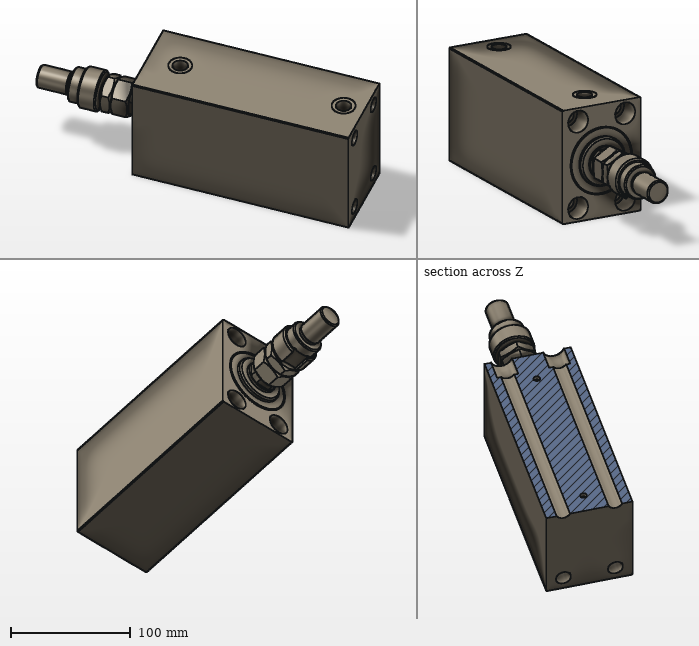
import cadquery as cq
import math

TOTAL_LENGTH = 289.0
BLOCK_FRONT = 96.2
BLOCK_WIDTH = 75.0
BLOCK_HEIGHT = 100.0
BLOCK_LENGTH = TOTAL_LENGTH - BLOCK_FRONT
BLOCK_CHAMFER = 1.0

MOUNT_SPACING_Y = 45.0
MOUNT_SPACING_Z = 76.0
MOUNT_DIAMETER = 13.0
MOUNT_COUNTERBORE_DIAMETER = 19.0
MOUNT_COUNTERBORE_DEPTH = 18.8

PORT_POSITIONS = (125.0, 270.8)
PORT_DIAMETER = 13.0
PORT_SPOT_DIAMETER = 20.0
SPOT_DEPTH = 0.3
PORT_DEPTH = 12.0
PASSAGE_DIAMETER = 5.2
PASSAGE_DEPTH = 18.8

GROOVE_OUTER_DIAMETER = 59.0
GROOVE_INNER_DIAMETER = 57.2
GROOVE_DEPTH = 1.0
BOSS_DIAMETER = 43.0
BOSS_LENGTH = 3.8
BOSS_CHAMFER = 1.5

ROD_DIAMETER = 28.5
ROD_NOSE_DIAMETER = 27.2
ROD_SQUARE = 24.0
ROD_FRONT = 83.8
ROD_NOSE_END = 90.2
ROD_DEPTH_IN_BLOCK = 57.8

NUT_ACROSS_FLATS = 30.0
LOCK_NUT_FRONT = 58.7
NUT_FRONT = 68.2
NUT_CORNER_ANGLE = 30.0
NUT_FACE_DIAMETER = 28.3
SHANK_DIAMETER = 15.0

TIP_DIAMETER = 20.0
TIP_LENGTH = 27.5
TIP_CHAMFER = 1.2
NECK_DIAMETER = 18.2
FLANGE_FRONT = 29.8
FLANGE_DIAMETER = 30.0
FLANGE_CHAMFER = 1.2
COLLAR_FRONT = 39.3
COLLAR_END = 55.8
COLLAR_DIAMETER = 35.8
COLLAR_FRONT_CHAMFER = 1.5
COLLAR_REAR_CHAMFER = 1.2
SLOT_WIDTH = 15.3
SLOT_FLOOR = 12.7
SLOT_RUNOUT = 1.0


def cylinder_x(diameter, start, end):
    """Cylinder on the X axis between two X positions."""
    return cq.Workplane("YZ", origin=(start, 0, 0)).circle(diameter / 2).extrude(end - start)


def make_block():
    """Cylinder block with its guide boss, holes, ports and rod bore."""
    block = (
        cq.Workplane("XY")
        .box(BLOCK_LENGTH, BLOCK_WIDTH, BLOCK_HEIGHT)
        .edges("|X")
        .chamfer(BLOCK_CHAMFER)
        .translate((BLOCK_FRONT + BLOCK_LENGTH / 2, 0, 0))
    )
    boss = cylinder_x(BOSS_DIAMETER, BLOCK_FRONT - BOSS_LENGTH, BLOCK_FRONT).faces("<X").chamfer(BOSS_CHAMFER)
    front_face = cq.Workplane("YZ", origin=(BLOCK_FRONT, 0, 0))
    groove = (
        front_face.circle(GROOVE_OUTER_DIAMETER / 2).circle(GROOVE_INNER_DIAMETER / 2).extrude(GROOVE_DEPTH)
    )
    mounts = front_face.rect(MOUNT_SPACING_Y, MOUNT_SPACING_Z, forConstruction=True).vertices()
    mount_holes = mounts.circle(MOUNT_DIAMETER / 2).extrude(BLOCK_LENGTH)
    mount_counterbores = mounts.circle(MOUNT_COUNTERBORE_DIAMETER / 2).extrude(MOUNT_COUNTERBORE_DEPTH)
    bore = cylinder_x(ROD_DIAMETER, BLOCK_FRONT - BOSS_LENGTH, BLOCK_FRONT + ROD_DEPTH_IN_BLOCK)
    block = block.union(boss).cut(groove).cut(mount_holes).cut(mount_counterbores).cut(bore)

    top_face = cq.Workplane("XY", origin=(0, 0, BLOCK_HEIGHT / 2))
    ports = top_face.pushPoints([(x, 0) for x in PORT_POSITIONS])
    for diameter, depth in (
        (PORT_SPOT_DIAMETER, SPOT_DEPTH),
        (PORT_DIAMETER, PORT_DEPTH),
        (PASSAGE_DIAMETER, PASSAGE_DEPTH),
    ):
        block = block.cut(ports.circle(diameter / 2).extrude(-depth))
    return block


def make_rod():
    """Piston rod with a slimmer nose that carries four wrench flats."""
    shaft = cylinder_x(ROD_DIAMETER, ROD_NOSE_END, BLOCK_FRONT + ROD_DEPTH_IN_BLOCK)
    square = (
        cq.Workplane("YZ", origin=(ROD_FRONT, 0, 0))
        .rect(ROD_SQUARE, ROD_SQUARE)
        .extrude(ROD_NOSE_END - ROD_FRONT)
    )
    nose = cylinder_x(ROD_NOSE_DIAMETER, ROD_FRONT, ROD_NOSE_END).intersect(square)
    return shaft.union(nose)


def make_nut(start, end):
    """Hexagon nut on the X axis, corners up and down, with both ends coned at the corners."""
    corner_radius = NUT_ACROSS_FLATS / math.sqrt(3)
    face_radius = NUT_FACE_DIAMETER / 2
    cone_length = (corner_radius - face_radius) * math.tan(math.radians(NUT_CORNER_ANGLE))
    hexagon = (
        cq.Workplane("YZ", origin=(start, 0, 0))
        .transformed(rotate=(0, 0, 90))
        .polygon(6, 2 * corner_radius)
        .extrude(end - start)
    )
    envelope = (
        cq.Workplane("XZ")
        .moveTo(start, 0)
        .lineTo(start, face_radius)
        .lineTo(start + cone_length, corner_radius)
        .lineTo(end - cone_length, corner_radius)
        .lineTo(end, face_radius)
        .lineTo(end, 0)
        .close()
        .revolve(360, (0, 0, 0), (1, 0, 0))
    )
    return hexagon.intersect(envelope).cut(cylinder_x(SHANK_DIAMETER, start, end))


def make_joint():
    """Stepped joint with a slotted collar and a shank that carries both nuts."""
    tip = cylinder_x(TIP_DIAMETER, 0, TIP_LENGTH).faces("<X").chamfer(TIP_CHAMFER)
    tip = tip.faces(">X").chamfer((TIP_DIAMETER - NECK_DIAMETER) / 2)
    neck = cylinder_x(NECK_DIAMETER, TIP_LENGTH, FLANGE_FRONT)
    flange = cylinder_x(FLANGE_DIAMETER, FLANGE_FRONT, COLLAR_FRONT).faces("<X").chamfer(FLANGE_CHAMFER)
    collar = cylinder_x(COLLAR_DIAMETER, COLLAR_FRONT, COLLAR_END)
    collar = collar.faces("<X").chamfer(COLLAR_FRONT_CHAMFER).faces(">X").chamfer(COLLAR_REAR_CHAMFER)
    shank = cylinder_x(SHANK_DIAMETER, COLLAR_END, ROD_FRONT)
    slot_start = COLLAR_FRONT - SLOT_RUNOUT
    slot = cq.Workplane("XY").box(
        COLLAR_END - slot_start, SLOT_WIDTH, COLLAR_DIAMETER, centered=(False, True, False)
    )
    slot = slot.translate((slot_start, 0, -SLOT_FLOOR - COLLAR_DIAMETER))
    return tip.union(neck).union(flange).union(collar).union(shank).cut(slot)


block = make_block()
rod = make_rod()
nuts = [make_nut(start, end) for start, end in ((LOCK_NUT_FRONT, NUT_FRONT), (NUT_FRONT, ROD_FRONT))]
joint = make_joint()

result = cq.Compound.makeCompound([block.val(), rod.val(), *[nut.val() for nut in nuts], joint.val()])